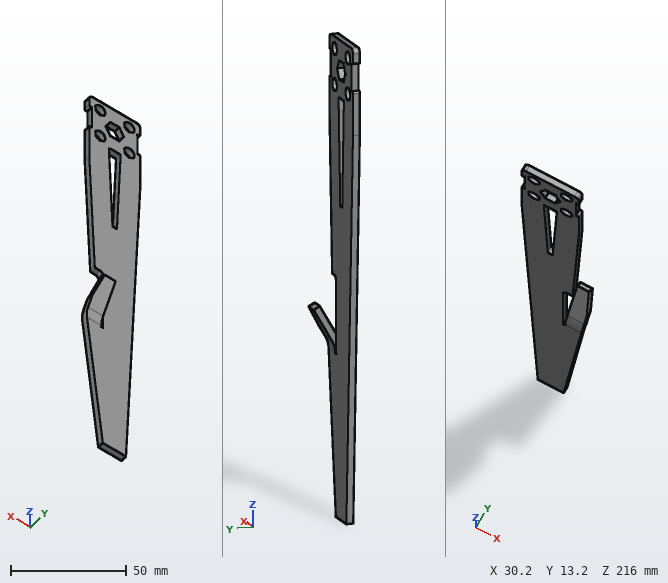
import cadquery as cq
import math

LENGTH = 216.0
THICKNESS = 3.2
HALF_WIDTH = 14.2
TIP_HALF_WIDTH = 6.3
TIP_RIGHT = 6.7
TAPER_START = LENGTH - 38.9

LUG_BOTTOM = LENGTH - 7.0
NECK_BOTTOM = LENGTH - 19.2
NECK_HALF_WIDTH = 12.7
HEAD_RADIUS = 2.2
SHOULDER_RADIUS = 0.9
HEAD_CENTER = LENGTH - 13.5
HOLE_DIAMETER = 5.6
HOLE_SPACING = 16.2
HEX_ACROSS_CORNERS = 10.0

WINDOW_TOP = LENGTH - 26.1
WINDOW_BOTTOM = LENGTH - 74.7
WINDOW_TOP_WIDTH = 6.5
WINDOW_BOTTOM_WIDTH = 2.4
WINDOW_RADIUS = 0.6

CUT_TOP = LENGTH - 107.5
CUT_X = 6.5
CUT_RADIUS = 2.0
RELIEF_WIDTH = 1.0
RELIEF_BOTTOM = 73.5

BEND_START = 74.0
BEND_ANGLE = 30.0
BEND_OUTER_RADIUS = 13.0
TAB_TOP = 95.5
TAB_TOP_RIGHT = 13.4
TAB_RIGHT = 16.0
TAB_WIDE_BOTTOM = 77.7
TAB_WIDE_TOP = 84.2


def edge_x(z):
    """Half width of the symmetric taper at height z."""
    return TIP_HALF_WIDTH + (HALF_WIDTH - TIP_HALF_WIDTH) * z / TAPER_START


def blade_edge_x(z):
    """Right edge of the lower blade, which widens up to the tab."""
    return TIP_RIGHT + (TAB_RIGHT - TIP_RIGHT) * z / TAB_WIDE_BOTTOM


def extrude_outline(points):
    """Extrude an XZ outline through the plate, from Y = 0 to Y = THICKNESS."""
    return cq.Workplane("XZ").polyline(points).close().extrude(-THICKNESS)


def round_corner(plate, x, z, radius):
    """Fillet the through-thickness edge at (x, z)."""
    corner = cq.selectors.NearestToPointSelector((x, THICKNESS / 2, z))
    return plate.edges("|Y").edges(corner).fillet(radius)


def make_plate():
    plate = extrude_outline([
        (-TIP_HALF_WIDTH, 0),
        (TIP_RIGHT, 0),
        (blade_edge_x(BEND_START), BEND_START),
        (CUT_X + RELIEF_WIDTH, BEND_START),
        (CUT_X + RELIEF_WIDTH, RELIEF_BOTTOM),
        (CUT_X, RELIEF_BOTTOM),
        (CUT_X, CUT_TOP),
        (edge_x(CUT_TOP), CUT_TOP),
        (HALF_WIDTH, TAPER_START),
        (HALF_WIDTH, NECK_BOTTOM),
        (NECK_HALF_WIDTH, NECK_BOTTOM),
        (NECK_HALF_WIDTH, LUG_BOTTOM),
        (HALF_WIDTH, LUG_BOTTOM),
        (HALF_WIDTH, LENGTH),
        (-HALF_WIDTH, LENGTH),
        (-HALF_WIDTH, LUG_BOTTOM),
        (-NECK_HALF_WIDTH, LUG_BOTTOM),
        (-NECK_HALF_WIDTH, NECK_BOTTOM),
        (-HALF_WIDTH, NECK_BOTTOM),
        (-HALF_WIDTH, TAPER_START),
    ])
    plate = plate.edges("|Y").edges(">Z").fillet(HEAD_RADIUS)
    for side in (-1, 1):
        for height in (LUG_BOTTOM, NECK_BOTTOM):
            plate = round_corner(plate, side * HALF_WIDTH, height, SHOULDER_RADIUS)
    plate = round_corner(plate, edge_x(CUT_TOP), CUT_TOP, SHOULDER_RADIUS)
    return round_corner(plate, CUT_X, CUT_TOP, CUT_RADIUS)


def make_head_openings():
    head = cq.Workplane("XZ", origin=(0, 0, HEAD_CENTER))
    holes = head.rect(HOLE_SPACING, HOLE_SPACING, forConstruction=True).vertices()
    holes = holes.circle(HOLE_DIAMETER / 2).extrude(-THICKNESS)
    return holes.union(head.polygon(6, HEX_ACROSS_CORNERS).extrude(-THICKNESS))


def make_window():
    window = extrude_outline([
        (-WINDOW_BOTTOM_WIDTH / 2, WINDOW_BOTTOM),
        (WINDOW_BOTTOM_WIDTH / 2, WINDOW_BOTTOM),
        (WINDOW_TOP_WIDTH / 2, WINDOW_TOP),
        (-WINDOW_TOP_WIDTH / 2, WINDOW_TOP),
    ])
    return window.edges("|Y").fillet(WINDOW_RADIUS)


def make_tab():
    """Sheet bent toward +Y, trimmed to the tab's silhouette."""
    angle = math.radians(BEND_ANGLE)
    inner_radius = BEND_OUTER_RADIUS - THICKNESS

    def on_bend(radius, turn):
        return (BEND_OUTER_RADIUS - radius * math.cos(turn), BEND_START + radius * math.sin(turn))

    outer_end = on_bend(BEND_OUTER_RADIUS, angle)
    inner_end = on_bend(inner_radius, angle)
    rise = TAB_TOP - outer_end[1]
    run = rise * math.tan(angle)
    sheet = (
        cq.Workplane("YZ")
        .moveTo(0, BEND_START)
        .threePointArc(on_bend(BEND_OUTER_RADIUS, angle / 2), outer_end)
        .lineTo(outer_end[0] + run, TAB_TOP)
        .lineTo(inner_end[0] + run, inner_end[1] + rise)
        .lineTo(*inner_end)
        .threePointArc(on_bend(inner_radius, angle / 2), (THICKNESS, BEND_START))
        .close()
        .extrude(TAB_RIGHT)
    )
    tab_left = CUT_X + RELIEF_WIDTH
    silhouette = (
        cq.Workplane("XZ")
        .polyline([
            (tab_left, BEND_START),
            (blade_edge_x(BEND_START), BEND_START),
            (TAB_RIGHT, TAB_WIDE_BOTTOM),
            (TAB_RIGHT, TAB_WIDE_TOP),
            (TAB_TOP_RIGHT, TAB_TOP),
            (tab_left, TAB_TOP),
        ])
        .close()
        .extrude(-TAB_TOP)
    )
    return sheet.intersect(silhouette)


result = make_plate().cut(make_head_openings()).cut(make_window()).union(make_tab())